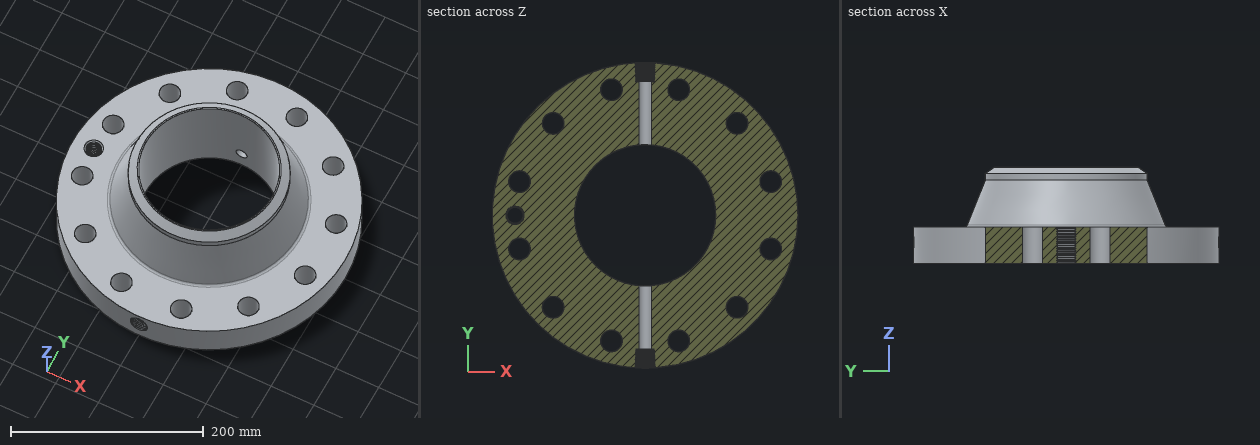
import cadquery as cq
import math

FLANGE_DIAMETER = 317.5
FLANGE_THICKNESS = 38.1
OVERALL_HEIGHT = 100.08
BORE_DIAMETER = 146.3

HUB_BASE_DIAMETER = 207.4
HUB_END_DIAMETER = 168.3
HUB_END_LENGTH = 13.6
BEVEL_HEIGHT = 6.6
LAND_DIAMETER = 149.5
HUB_FILLET_RADIUS = 3.0

BOLT_COUNT = 12
BOLT_CIRCLE_DIAMETER = 269.9
BOLT_HOLE_DIAMETER = 22.2

JACK_MAJOR_DIAMETER = 20.0
JACK_MINOR_DIAMETER = 16.5
JACK_PITCH = 2.5

TAP_HEIGHT = 22.2
TAP_BORE_DIAMETER = 12.7
TAP_MAJOR_DIAMETER = 21.0
TAP_THREAD_HEIGHT = 1.45
TAP_PITCH = 25.4 / 14
TAP_THREAD_TURNS = 11
TAP_TAPER = 1 / 16

FLANGE_RADIUS = FLANGE_DIAMETER / 2
BOLT_CIRCLE_RADIUS = BOLT_CIRCLE_DIAMETER / 2


def flange_body():
    """Flange disc, tapered hub and bevelled welding end around the bore."""
    bore_radius = BORE_DIAMETER / 2
    hub_end_radius = HUB_END_DIAMETER / 2
    hub_base_radius = HUB_BASE_DIAMETER / 2
    profile = [
        (bore_radius, 0),
        (FLANGE_RADIUS, 0),
        (FLANGE_RADIUS, FLANGE_THICKNESS),
        (hub_base_radius, FLANGE_THICKNESS),
        (hub_end_radius, OVERALL_HEIGHT - HUB_END_LENGTH),
        (hub_end_radius, OVERALL_HEIGHT - BEVEL_HEIGHT),
        (LAND_DIAMETER / 2, OVERALL_HEIGHT),
        (bore_radius, OVERALL_HEIGHT),
    ]
    body = cq.Workplane("XZ").polyline(profile).close().revolve(360, (0, 0), (0, 1))
    hub_foot = cq.selectors.RadiusNthSelector(-2)
    return body.edges(hub_foot).fillet(HUB_FILLET_RADIUS)


def bolt_holes():
    """Cutters for the bolt holes."""
    first_angle = 180 / BOLT_COUNT
    return (
        cq.Workplane("XY")
        .polarArray(BOLT_CIRCLE_RADIUS, first_angle, 360, BOLT_COUNT)
        .circle(BOLT_HOLE_DIAMETER / 2)
        .extrude(FLANGE_THICKNESS)
    )


def threaded_cutter(major_diameter, thread_height, pitch, turns, taper):
    """Ringed V-thread cutter about +Z, with its mouth at Z = 0 and a taper on the diameter."""
    mouth_radius = major_diameter / 2
    taper_step = taper * pitch / 2
    profile = [(0, 0), (mouth_radius, 0)]
    for turn in range(turns):
        groove_radius = mouth_radius - turn * taper_step
        ridge_radius = groove_radius - taper_step / 2 - thread_height
        profile.append((ridge_radius, (turn + 0.5) * pitch))
        profile.append((groove_radius - taper_step, (turn + 1) * pitch))
    profile.append((0, turns * pitch))
    return cq.Workplane("XZ").polyline(profile).close().revolve(360, (0, 0), (0, 1))


def jack_screw_hole():
    """Cutter for the threaded hole through the flange."""
    turns = math.ceil(FLANGE_THICKNESS / JACK_PITCH)
    thread_height = (JACK_MAJOR_DIAMETER - JACK_MINOR_DIAMETER) / 2
    cutter = threaded_cutter(JACK_MAJOR_DIAMETER, thread_height, JACK_PITCH, turns, 0)
    start_height = FLANGE_THICKNESS - turns * JACK_PITCH
    return cutter.translate((-BOLT_CIRCLE_RADIUS, 0, start_height))


def pressure_tap():
    """Cutter for the pressure tap on the -Y side, from the rim to the bore."""
    thread = threaded_cutter(
        TAP_MAJOR_DIAMETER, TAP_THREAD_HEIGHT, TAP_PITCH, TAP_THREAD_TURNS, TAP_TAPER
    )
    passage = cq.Workplane("XY").circle(TAP_BORE_DIAMETER / 2).extrude(FLANGE_RADIUS)
    return (
        thread.union(passage)
        .rotate((0, 0, 0), (1, 0, 0), -90)
        .translate((0, -FLANGE_RADIUS, TAP_HEIGHT))
    )


result = flange_body().cut(bolt_holes()).cut(jack_screw_hole())
for tap_angle in (0, 180):
    result = result.cut(pressure_tap().rotate((0, 0, 0), (0, 0, 1), tap_angle))